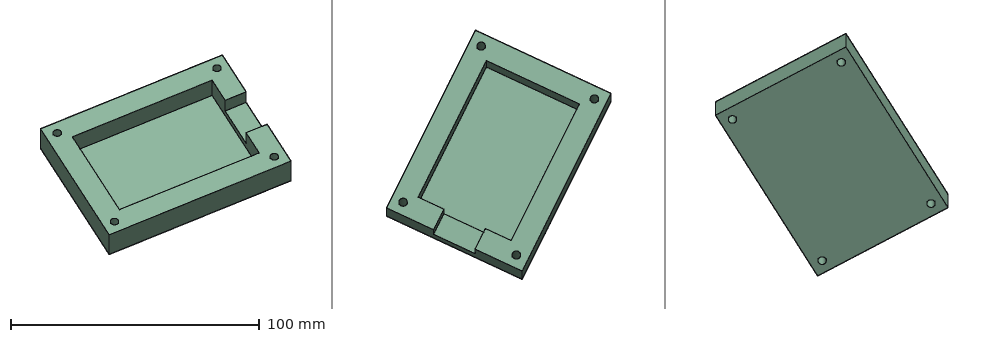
import cadquery as cq

width = 60.6
length = 82.2
height = 13.0

wall = 9.5
pocket_depth = 10.0
pocket_width = width - 2 * wall
pocket_length = length - 2 * wall

notch_width = 18.5
notch_depth = 7.0

hole_diameter = 3.4
hole_inset = 5.0


def make_block():
    return cq.Workplane("XY").box(width, length, height, centered=(True, True, False))


def make_pocket():
    return (
        cq.Workplane("XY", origin=(0, 0, height - pocket_depth))
        .box(pocket_width, pocket_length, pocket_depth, centered=(True, True, False))
    )


def make_notch():
    """Cutter that runs from the pocket out through the +Y face."""
    return (
        cq.Workplane("XY", origin=(0, pocket_length / 2, height - notch_depth))
        .box(notch_width, wall, notch_depth, centered=(True, False, False))
    )


def make_screw_holes():
    return (
        cq.Workplane("XY")
        .rect(width - 2 * hole_inset, length - 2 * hole_inset, forConstruction=True)
        .vertices()
        .circle(hole_diameter / 2)
        .extrude(height)
    )


result = make_block().cut(make_pocket()).cut(make_notch()).cut(make_screw_holes())